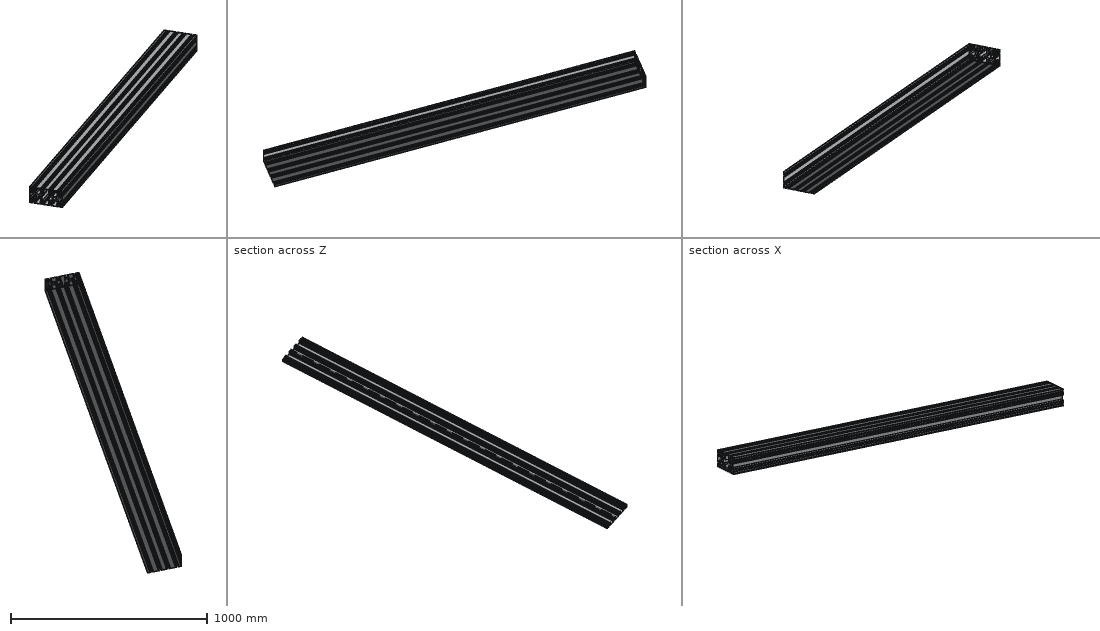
import cadquery as cq

LENGTH = 2000.0
WIDTH = 180.0
HEIGHT = 90.0
CORNER_RADIUS = 3.0

HALF_CELL = HEIGHT / 2
SLOT_OFFSET = HEIGHT / 4

SKIN = 3.5
THIN_SKIN = 2.5

SLOT_OPENING = 8.2
SLOT_WIDTH = 14.5
SLOT_WALL_DEPTH = 12.0
SLOT_DEPTH = 15.0
SLOT_FLOOR = SLOT_WIDTH - 2 * (SLOT_DEPTH - SLOT_WALL_DEPTH)

CORE_BORE_DIAMETER = 13.5
BLOCK_BORE_DIAMETER = 7.0

WEB_OFFSET = 2.0
CORE_HALF_SIDE = 11.2
CORE_FACE_HALF_WIDTH = CORE_HALF_SIDE - WEB_OFFSET
NECK_HALF_WIDTH = 12.5
SHOULDER_HALF_WIDTH = 15.2
SHOULDER_HEIGHT = 28.0

CROSS_HALF_WIDTH = 12.5
CROSS_CHAMFER = 2.0

CORNER_HOLLOW_REACH = 12.0
CORNER_HOLLOW_CHAMFER = 5.0


def along_bar(outline):
    """Extrude a closed XZ outline over the whole length of the bar."""
    return outline.extrude(LENGTH / 2, both=True)


def prism(points):
    return along_bar(cq.Workplane("XZ").polyline(points).close())


def symmetric_prism(right_half):
    """Prism whose outline is the given right half and its mirror image; a point on the axis is kept once."""
    left_half = [(-x, z) for x, z in reversed(right_half) if x > 0]
    return prism(right_half + left_half)


def slot_cutter():
    """T-slot at the top of a cell, with sloping sides down to its floor."""
    return symmetric_prism([
        (SLOT_OPENING / 2, HALF_CELL),
        (SLOT_OPENING / 2, HALF_CELL - SKIN),
        (SLOT_WIDTH / 2, HALF_CELL - SKIN),
        (SLOT_WIDTH / 2, HALF_CELL - SLOT_WALL_DEPTH),
        (SLOT_FLOOR / 2, HALF_CELL - SLOT_DEPTH),
    ])


def chamber_cutter():
    """Hollow between two slots: ridged roof, wider below the slots, narrowing along the webs."""
    shoulder_step = SHOULDER_HALF_WIDTH - NECK_HALF_WIDTH
    return symmetric_prism([
        (0, HALF_CELL - THIN_SKIN),
        (NECK_HALF_WIDTH, HALF_CELL - SKIN),
        (NECK_HALF_WIDTH, SHOULDER_HEIGHT + shoulder_step),
        (SHOULDER_HALF_WIDTH, SHOULDER_HEIGHT),
        (SHOULDER_HALF_WIDTH, SHOULDER_HALF_WIDTH + WEB_OFFSET),
        (CORE_FACE_HALF_WIDTH, CORE_HALF_SIDE),
    ])


def side_cutter():
    """Everything cut into the upper side of a cell: the chamber and the slots beside it."""
    slot = slot_cutter()
    cutter = chamber_cutter()
    for offset in (-SLOT_OFFSET, SLOT_OFFSET):
        cutter = cutter.add(slot.translate((offset, 0, 0)))
    return cutter.combine()


def bores():
    """Core and block bores of a cell."""
    blocks = cq.Workplane("XZ").rect(2 * SLOT_OFFSET, 2 * SLOT_OFFSET, forConstruction=True)
    block_bores = along_bar(blocks.vertices().circle(BLOCK_BORE_DIAMETER / 2))
    core_bore = along_bar(cq.Workplane("XZ").circle(CORE_BORE_DIAMETER / 2))
    return block_bores.add(core_bore).combine()


def corner_hollow():
    """Hollow in the upper right corner of the bar, chamfered towards the inside."""
    outer_x = WIDTH / 2 - THIN_SKIN
    outer_z = HEIGHT / 2 - THIN_SKIN
    inner_x = WIDTH / 2 - CORNER_HOLLOW_REACH
    inner_z = HEIGHT / 2 - CORNER_HOLLOW_REACH
    return prism([
        (outer_x, outer_z),
        (inner_x, outer_z),
        (inner_x, inner_z + CORNER_HOLLOW_CHAMFER),
        (inner_x + CORNER_HOLLOW_CHAMFER, inner_z),
        (outer_x, inner_z),
    ])


def right_cell_cutter():
    """All cuts of the right cell; its left side opens into the cross-shaped chamber."""
    side = side_cutter()
    cutter = bores()
    for angle in (0, 90, 180):
        cutter = cutter.add(side.rotate((0, 0, 0), (0, 1, 0), angle))
    cutter = cutter.translate((HALF_CELL, 0, 0))
    hollow = corner_hollow()
    return cutter.add(hollow).add(hollow.mirror("XY"))


def cross_cutter():
    """Cross-shaped chamber between the cells, its ends narrowing along the webs to the cores."""
    gallery_corner = HALF_CELL - CROSS_HALF_WIDTH - WEB_OFFSET
    core_face = HALF_CELL - CORE_HALF_SIDE
    top = HEIGHT / 2 - SKIN
    upper_right = [
        (CROSS_HALF_WIDTH - CROSS_CHAMFER, top),
        (CROSS_HALF_WIDTH, top - CROSS_CHAMFER),
        (CROSS_HALF_WIDTH, CROSS_HALF_WIDTH),
        (gallery_corner, CROSS_HALF_WIDTH),
        (core_face, CORE_FACE_HALF_WIDTH),
    ]
    lower_right = [(x, -z) for x, z in reversed(upper_right)]
    return symmetric_prism(upper_right + lower_right)


bar = cq.Workplane("XY").box(WIDTH, LENGTH, HEIGHT).edges("|Y").fillet(CORNER_RADIUS)
right_cuts = right_cell_cutter()
for cuts in (right_cuts, right_cuts.mirror("YZ"), cross_cutter()):
    for body in cuts.vals():
        bar = bar.cut(body)

result = bar